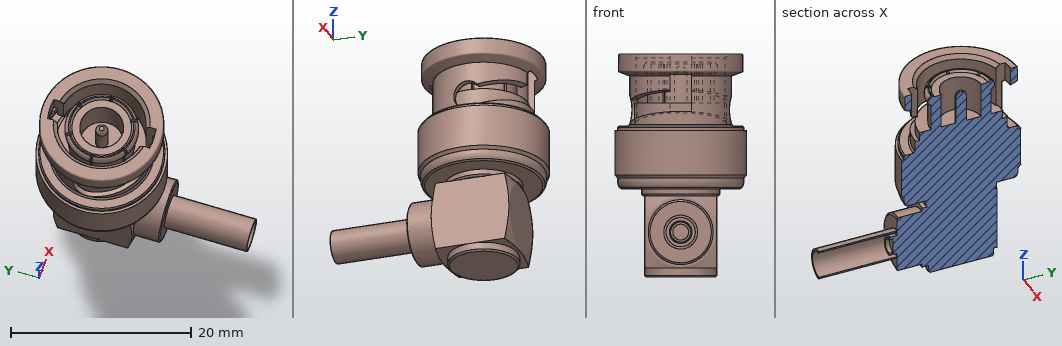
import cadquery as cq
import math


top_z = 19.75
flange_radius = 6.9
flange_rim_fillet = 0.2
flange_bottom_z = 17.77
flange_cone_end_z = 17.3
body_radius = 5.65
shell_bore_radius = 4.93
lead_in = 0.45
foot_radius = 5.85
foot_height = 0.2

slot_width = 2.36
axial_slot_radius = 6.03
seat_radius = 1.6
seat_z = 13.56
ramp_rise = 0.26
sides = (0, 180)

ring_top_z = 11.75
ring_base_z = 4.8
ring_radius = 7.3
ring_land_radius = 7.0
ring_top_chamfer = 0.15
grip_top_z = 11.25
grip_bottom_z = 6.35
land_top_z = 6.0
land_bottom_z = 5.5
base_taper_z = 5.22
base_taper_radius = 6.94
base_bevel_z = 4.95
base_bevel_radius = 6.8
base_edge_radius = 6.55

sleeve_radius = 5.1
sleeve_top_z = 14.32
contact_radius = 3.7
contact_bead_radius = 4.1
contact_top_z = 18.87
contact_bead_bottom_z = 17.55
contact_bead_mid_z = 18.25
contact_mouth_radius = 3.55
contact_slot_width = 0.28
contact_slot_count = 6
insulator_radius = 3.3
insulator_top_z = 18.65
insulator_bore_radius = 2.42
pin_radius = 0.68
pin_tip_radius = 0.27
pin_tip_z = 18.35
pin_nose_mid_radius = 0.53
pin_nose_mid_z = 18.1
pin_nose_base_z = 17.75

block_half = 4.0
block_front_y = -4.8
block_back_y = 4.4
end_face_radius = 3.88
end_chamfer_angle = 17
neck_radius = 4.35
neck_chamfer = 0.2
cap_radius = 4.0
cap_bottom_z = -5.0
cap_chamfer = 0.2

boss_radius = 3.6
boss_end_y = -7.85
boss_chamfer_width = 0.2
boss_chamfer_length = 0.13
tube_radius = 1.88
tube_bore_radius = 1.62
tube_end_y = -17.4
core_radius = 1.25
core_end_y = -8.85
core_chamfer = 0.13
core_hole_radius = 0.88
core_hole_depth = 0.5


def cylinder(radius, start_z, end_z):
    """Cylinder about Z between two heights."""
    return cq.Workplane("XY").workplane(offset=start_z).circle(radius).extrude(end_z - start_z)


def rod(radius, start_y, end_y):
    """Cylinder about Y that runs from start_y towards -Y as far as end_y."""
    return cq.Workplane("XZ", origin=(0, start_y, 0)).circle(radius).extrude(start_y - end_y)


def revolve_about_z(points):
    """Solid of revolution from (radius, z) points."""
    return cq.Workplane("XZ").polyline(points).close().revolve(360, (0, 0, 0), (0, 1, 0))


def revolve_about_y(points):
    """Solid of revolution from (radius, y) points."""
    return cq.Workplane("XY").polyline(points).close().revolve(360, (0, 0, 0), (0, 1, 0))


def bayonet_slot():
    """Axial entry on -Y, ramp towards -X and a round seat on -X."""
    entry = (
        cq.Workplane("XY")
        .box(slot_width, axial_slot_radius, top_z - sleeve_top_z, centered=(True, False, False))
        .translate((0, -axial_slot_radius, sleeve_top_z))
        .intersect(cylinder(axial_slot_radius, sleeve_top_z, top_z))
    )
    ramp_length = ring_radius
    ramp = (
        cq.Workplane("YZ", origin=(slot_width / 2, 0, seat_z))
        .transformed(rotate=(0, 0, -math.degrees(math.atan(ramp_rise))))
        .center(-ramp_length / 2, slot_width / 2 - seat_radius)
        .rect(ramp_length, slot_width)
        .extrude(-ring_radius - slot_width / 2)
    )
    seat = cq.Workplane("YZ").center(0, seat_z).circle(seat_radius).extrude(-ring_radius)
    return entry.union(ramp).union(seat)


def bayonet_shell():
    """Flanged tube with a coned mouth and two opposite bayonet slots."""
    shell = revolve_about_z([
        (shell_bore_radius, ring_top_z),
        (foot_radius, ring_top_z),
        (body_radius, ring_top_z + foot_height),
        (body_radius, flange_cone_end_z),
        (flange_radius, flange_bottom_z),
        (flange_radius, top_z),
        (shell_bore_radius + lead_in, top_z),
        (shell_bore_radius, top_z - lead_in),
    ])
    flange_rims = cq.selectors.RadiusNthSelector(-1)
    shell = shell.edges(flange_rims).fillet(flange_rim_fillet)
    for angle in sides:
        shell = shell.cut(bayonet_slot().rotate((0, 0, 0), (0, 0, 1), angle))
    return shell


def coupling_ring():
    """Grip ring below the shell, with a narrower land at each end."""
    return revolve_about_z([
        (0, ring_base_z),
        (base_edge_radius, ring_base_z),
        (base_bevel_radius, base_bevel_z),
        (base_taper_radius, base_taper_z),
        (ring_land_radius, land_bottom_z),
        (ring_land_radius, land_top_z),
        (ring_radius, grip_bottom_z),
        (ring_radius, grip_top_z),
        (ring_land_radius, grip_top_z),
        (ring_land_radius, ring_top_z - ring_top_chamfer),
        (ring_land_radius - ring_top_chamfer, ring_top_z),
        (0, ring_top_z),
    ])


def outer_contact():
    """Beaded contact sleeve, split into spring fingers."""
    profile = (
        cq.Workplane("XZ")
        .moveTo(insulator_radius, sleeve_top_z)
        .lineTo(contact_radius, sleeve_top_z)
        .lineTo(contact_radius, contact_bead_bottom_z)
        .threePointArc((contact_bead_radius, contact_bead_mid_z), (contact_radius, contact_top_z))
        .lineTo(contact_mouth_radius, contact_top_z)
        .lineTo(insulator_radius, insulator_top_z)
        .close()
    )
    contact = profile.revolve(360, (0, 0, 0), (0, 1, 0))
    for index in range(contact_slot_count):
        slot = (
            cq.Workplane("XY")
            .box(shell_bore_radius, contact_slot_width, top_z - sleeve_top_z, centered=(False, True, False))
            .translate((0, 0, sleeve_top_z))
            .rotate((0, 0, 0), (0, 0, 1), index * 360 / contact_slot_count)
        )
        contact = contact.cut(slot)
    return contact


def plug_core():
    """Sleeve, insulator with its bore, and the centre pin."""
    sleeve = cylinder(sleeve_radius, ring_top_z, sleeve_top_z)
    insulator = cylinder(insulator_radius, sleeve_top_z, insulator_top_z)
    bore = cylinder(insulator_bore_radius, sleeve_top_z, insulator_top_z)
    pin_profile = (
        cq.Workplane("XZ")
        .moveTo(0, sleeve_top_z)
        .lineTo(pin_radius, sleeve_top_z)
        .lineTo(pin_radius, pin_nose_base_z)
        .threePointArc((pin_nose_mid_radius, pin_nose_mid_z), (pin_tip_radius, pin_tip_z))
        .lineTo(0, pin_tip_z)
        .close()
    )
    pin = pin_profile.revolve(360, (0, 0, 0), (0, 1, 0))
    return sleeve.union(insulator.cut(bore)).union(pin)


def elbow():
    """Square block with coned ends, the neck above it and the cap below it."""
    block = (
        cq.Workplane("XY")
        .box(2 * block_half, block_back_y - block_front_y, 2 * block_half, centered=(True, False, True))
        .translate((0, block_front_y, 0))
    )
    cone_radius = math.hypot(block_half, block_half)
    cone_drop = (cone_radius - end_face_radius) * math.tan(math.radians(end_chamfer_angle))
    coned_envelope = revolve_about_y([
        (0, block_front_y),
        (end_face_radius, block_front_y),
        (cone_radius, block_front_y + cone_drop),
        (cone_radius, block_back_y - cone_drop),
        (end_face_radius, block_back_y),
        (0, block_back_y),
    ])
    neck = cylinder(neck_radius, block_half, ring_base_z).faces("<Z").chamfer(neck_chamfer)
    cap = cylinder(cap_radius, cap_bottom_z, -block_half).faces("<Z").chamfer(cap_chamfer)
    return block.intersect(coned_envelope).union(neck).union(cap)


def cable_ferrule():
    """Boss with a thin tube, and the cable core standing inside the tube."""
    boss = revolve_about_y([
        (0, block_front_y),
        (boss_radius, block_front_y),
        (boss_radius, boss_end_y + boss_chamfer_length),
        (boss_radius - boss_chamfer_width, boss_end_y),
        (0, boss_end_y),
    ])
    tube = rod(tube_radius, boss_end_y, tube_end_y).cut(rod(tube_bore_radius, boss_end_y, tube_end_y))
    core = rod(core_radius, boss_end_y, core_end_y).faces("<Y").chamfer(core_chamfer)
    core_hole = rod(core_hole_radius, core_end_y + core_hole_depth, core_end_y)
    return boss.union(tube).union(core.cut(core_hole))


result = (
    coupling_ring()
    .union(bayonet_shell())
    .union(plug_core())
    .union(outer_contact())
    .union(elbow())
    .union(cable_ferrule())
)